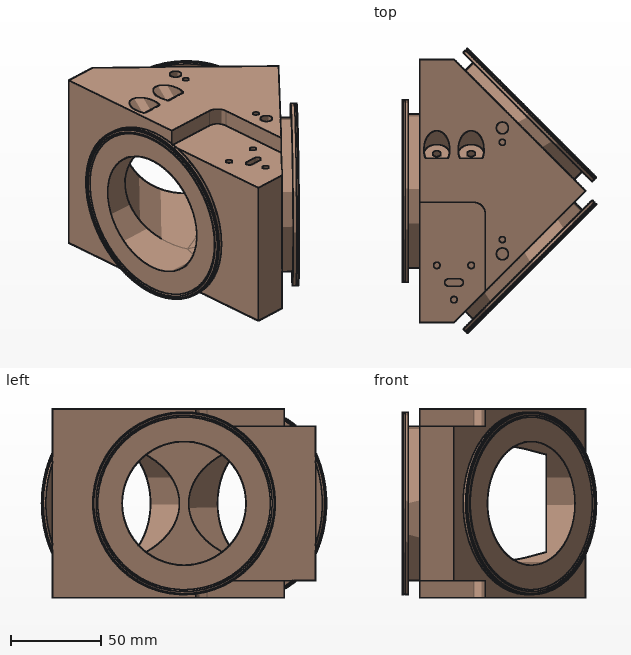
import cadquery as cq
import math

INCH = 25.4
body_height = 4.125 * INCH
body_length = 3.625 * INCH
body_half_width = 2.875 * INCH
side_flat_length = body_length - body_half_width
top_z = body_height / 2

port_axis_x = 0.75 * INCH
port_angle = 45
face_distance = (body_length - port_axis_x) / 2 * math.sqrt(2)
bore_radius = 1.35 * INCH
back_bore_depth = 70.1

flange_standoff = 0.375 * INCH
flange_radius = 50.67
neck_radius = 1.6875 * INCH
rim_back_width = 1.9
rim_lip_width = 0.5
flange_thickness = 3.35
rim_groove_depth = 0.6
recess_mouth_radius = 48.9
recess_floor_radius = 47.9
recess_depth = 0.5

pocket_length_x = 36.4
pocket_edge_y = -0.25 * INCH
pocket_depth = 0.375 * INCH
pocket_corner_radius = 0.25 * INCH

hole_pitch_half = 0.375 * INCH
group_x = port_axis_x
group_y = -2.0 * INCH
pocket_hole_diameter = 3.6
slot_length = 10.3
slot_width = 4.0
blind_depth = 0.375 * INCH

pair_x = 45.9
dowel_y = 1.375 * INCH
dowel_diameter = 6.6
screw_y = 1.0625 * INCH
screw_diameter = 3.4

slant_angle = 45
slant_y = 20.65
slant_seat_depth = 2.6
slant_seat_diameter = 0.5625 * INCH
slant_seat_length = 20.0
slant_hole_diameter = 4.6
slant_hole_depth = 10.0


def make_body():
    outline = [
        (0, -body_half_width),
        (side_flat_length, -body_half_width),
        (body_length, 0),
        (side_flat_length, body_half_width),
        (0, body_half_width),
    ]
    return cq.Workplane("XY").workplane(offset=-top_z).polyline(outline).close().extrude(body_height)


def make_flange():
    """Flange and neck revolved about +X, with the body face at X = 0."""
    face = flange_standoff
    rim_back = face - flange_thickness
    groove_back = rim_back + rim_back_width
    groove_front = face - rim_lip_width
    groove_radius = flange_radius - rim_groove_depth
    profile = [
        (0, 0),
        (0, neck_radius),
        (rim_back, neck_radius),
        (rim_back, flange_radius),
        (groove_back, flange_radius),
        (groove_front, groove_radius),
        (groove_front, flange_radius),
        (face, flange_radius),
        (face, recess_mouth_radius),
        (face - recess_depth, recess_floor_radius),
        (face - recess_depth, 0),
    ]
    return cq.Workplane("XY").polyline(profile).close().revolve(360, (0, 0, 0), (1, 0, 0))


def on_diagonal(shape, side):
    """Move a shape built along +X onto the +Y (side = 1) or -Y (side = -1) port axis."""
    turned = shape.rotate((0, 0, 0), (0, 0, 1), side * port_angle)
    return turned.translate((port_axis_x, 0, 0))


def make_bore(start_x, length):
    return cq.Workplane("YZ").workplane(offset=start_x).circle(bore_radius).extrude(length)


def make_pocket():
    """Pocket open at the back and side, with one rounded vertical corner, standing on Z = 0."""
    width = body_half_width + pocket_edge_y
    block = cq.Workplane("XY").box(pocket_length_x, width, pocket_depth, centered=False)
    rounded = block.edges("|Z and >X and >Y").fillet(pocket_corner_radius)
    return rounded.translate((0, -body_half_width, 0))


def drill(points, diameter, surface_z):
    plane = cq.Workplane("XY").workplane(offset=surface_z)
    return plane.pushPoints(points).circle(diameter / 2).extrude(-blind_depth)


def make_slanted_hole(x):
    """Hole rising towards +Y, with a flat round seat that breaks out through the top surface."""
    seat = cq.Workplane("XY").circle(slant_seat_diameter / 2).extrude(slant_seat_length)
    hole = cq.Workplane("XY").circle(slant_hole_diameter / 2).extrude(-slant_hole_depth)
    tilted = seat.union(hole).rotate((0, 0, 0), (1, 0, 0), -slant_angle)
    return tilted.translate((x, slant_y, top_z - slant_seat_depth))


result = make_body()
result = result.union(make_flange().rotate((0, 0, 0), (0, 0, 1), 180))
for side in (1, -1):
    result = result.union(on_diagonal(make_flange().translate((face_distance, 0, 0)), side))

result = result.cut(make_bore(-flange_standoff, flange_standoff + back_bore_depth))
for side in (1, -1):
    result = result.cut(on_diagonal(make_bore(0, face_distance + flange_standoff), side))

pocket_floor_z = top_z - pocket_depth
result = result.cut(make_pocket().translate((0, 0, pocket_floor_z)))
result = result.cut(make_pocket().translate((0, 0, -top_z)))

pocket_holes = [
    (group_x - hole_pitch_half, group_y + hole_pitch_half),
    (group_x + hole_pitch_half, group_y + hole_pitch_half),
    (group_x, group_y - hole_pitch_half),
]
result = result.cut(drill(pocket_holes, pocket_hole_diameter, pocket_floor_z))
slot_plane = cq.Workplane("XY").workplane(offset=pocket_floor_z).center(group_x, group_y)
result = result.cut(slot_plane.slot2D(slot_length, slot_width).extrude(-blind_depth))

result = result.cut(drill([(pair_x, dowel_y), (pair_x, -dowel_y)], dowel_diameter, top_z))
result = result.cut(drill([(pair_x, screw_y), (pair_x, -screw_y)], screw_diameter, top_z))

for x in (group_x - hole_pitch_half, group_x + hole_pitch_half):
    result = result.cut(make_slanted_hole(x))